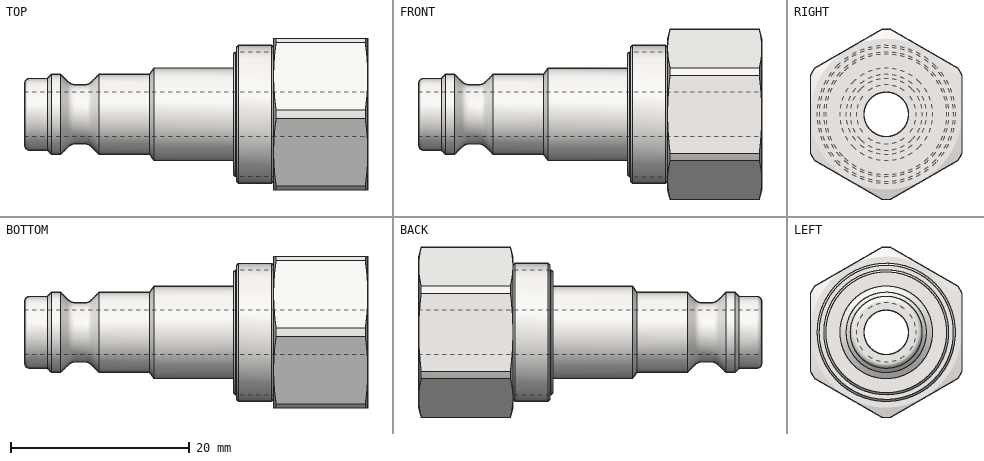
import cadquery as cq
import math

total_length = 38.5
bore_diameter = 4.95

tip_diameter = 8.1
neck_diameter = 9.0
groove_diameter = 6.65
shank_diameter = 10.4
plug_diameter = 14.0

tip_radius = 0.58
tip_end = 2.55
rib_end = 4.05
groove_end = 8.35
neck_end = 14.0
plug_start = 23.4
plug_end = 27.9
plug_chamfer = 0.25
groove_front_radius = 1.15
groove_rear_radius = 1.0
shank_chamfer = 0.5

collar_diameter = 15.5
collar_start = 23.75
collar_chamfer = 0.25
hex_start = plug_end
hex_flats = 17.0
hex_corner_diameter = 19.15
hex_face_diameter = 16.95
hex_chamfer_angle = 15.0


def revolve_x(profile):
    """Turn a closed (X, radius) profile about the X axis."""
    return profile.close().revolve(360, (0, 0, 0), (1, 0, 0))


def cylinder_x(start, end, diameter):
    """Solid cylinder along X between two positions."""
    return cq.Workplane("YZ", origin=(start, 0, 0)).circle(diameter / 2).extrude(end - start)


def make_nipple():
    bore = bore_diameter / 2
    tip = tip_diameter / 2
    neck = neck_diameter / 2
    groove = groove_diameter / 2
    shank = shank_diameter / 2
    plug = plug_diameter / 2
    diagonal = math.sqrt(0.5)

    front_drop = neck - groove - groove_front_radius * (1 - diagonal)
    rear_drop = neck - groove - groove_rear_radius * (1 - diagonal)
    front_tangent = rib_end + front_drop
    rear_tangent = groove_end - rear_drop
    floor_start = front_tangent + groove_front_radius * diagonal
    floor_end = rear_tangent - groove_rear_radius * diagonal
    mid_angle = math.radians(22.5)

    def root_arc_middle(floor_x, radius, side):
        x = floor_x + side * radius * math.sin(mid_angle)
        return x, groove + radius * (1 - math.cos(mid_angle))

    profile = (
        cq.Workplane("XY")
        .moveTo(0, bore)
        .lineTo(0, tip - tip_radius)
        .threePointArc(
            (tip_radius * (1 - diagonal), tip - tip_radius * (1 - diagonal)),
            (tip_radius, tip),
        )
        .lineTo(tip_end, tip)
        .lineTo(tip_end + neck - tip, neck)
        .lineTo(rib_end, neck)
        .lineTo(front_tangent, neck - front_drop)
        .threePointArc(root_arc_middle(floor_start, groove_front_radius, -1), (floor_start, groove))
        .lineTo(floor_end, groove)
        .threePointArc(
            root_arc_middle(floor_end, groove_rear_radius, 1),
            (rear_tangent, neck - rear_drop),
        )
        .lineTo(groove_end, neck)
        .lineTo(neck_end, neck)
        .lineTo(neck_end + shank_chamfer, shank)
        .lineTo(plug_start, shank)
        .lineTo(plug_start, plug - plug_chamfer)
        .lineTo(plug_start + plug_chamfer, plug)
        .lineTo(plug_end, plug)
        .lineTo(plug_end, bore)
    )
    return revolve_x(profile)


def make_hex():
    """Hexagon with flats facing +Y and -Y, turned corners and chamfered ends."""
    length = total_length - hex_start
    sharp_corners = hex_flats / math.cos(math.radians(30))
    hexagon = (
        cq.Workplane("YZ", origin=(hex_start, 0, 0))
        .transformed(rotate=(0, 0, 30))
        .polygon(6, sharp_corners)
        .extrude(length)
    )
    corner = hex_corner_diameter / 2
    face = hex_face_diameter / 2
    chamfer_length = (corner - face) * math.tan(math.radians(hex_chamfer_angle))
    envelope = (
        cq.Workplane("XY")
        .moveTo(hex_start, 0)
        .lineTo(hex_start, face)
        .lineTo(hex_start + chamfer_length, corner)
        .lineTo(total_length - chamfer_length, corner)
        .lineTo(total_length, face)
        .lineTo(total_length, 0)
    )
    return hexagon.intersect(revolve_x(envelope))


def make_collar():
    """Round collar with both outer edges chamfered."""
    return cylinder_x(collar_start, hex_start, collar_diameter).edges().chamfer(collar_chamfer)


def make_housing():
    blank = make_collar().union(make_hex())
    plug_recess = cylinder_x(collar_start, plug_end, plug_diameter)
    through_bore = cylinder_x(plug_end, total_length, bore_diameter)
    return blank.cut(plug_recess).cut(through_bore)


nipple = make_nipple()
housing = make_housing()
result = cq.Compound.makeCompound([nipple.val(), housing.solids().val()])